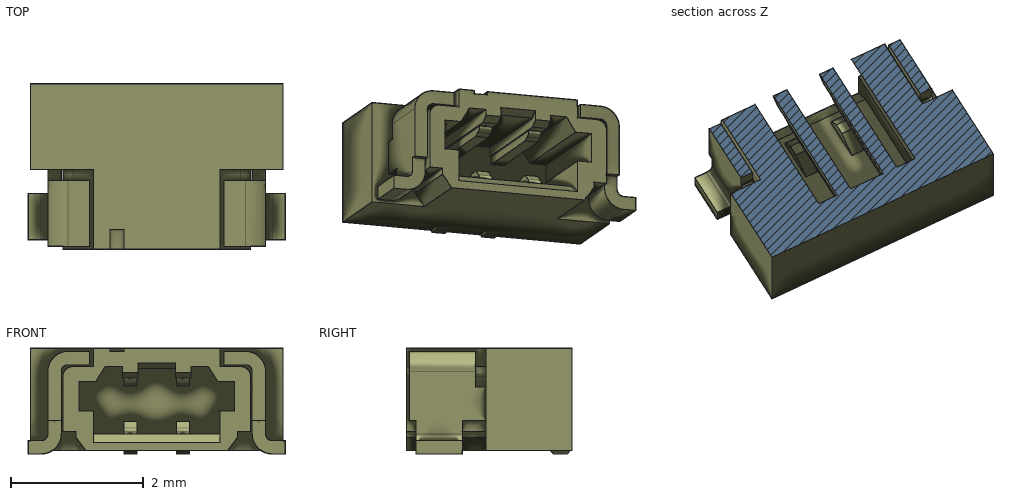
import cadquery as cq


total_width = 3.88
total_depth = 2.5
total_height = 1.6
standoff = 0.05

block_width = 3.81
block_front = 1.203
bridge_half_width = 0.95
shell_half_width = 1.415
shoulder_z = 1.32
shoulder_radius = 0.15
shell_step_z = 0.34
shell_step_half_width = 1.215
shell_bevel_z = 0.25
shell_base_half_width = 1.067

cavity_depth = 2.0
cavity_floor_z = 0.303
cavity_ceiling_z = 1.32
ledge_half_width = 1.175
ledge_bottom_z = 0.648
ledge_top_z = 1.095
taper_bottom_half_width = 0.92
taper_top_half_width = 0.775
rib_outer_x = 0.515
rib_inner_x = 0.28
rib_bottom_z = 1.15
channel_ceiling_z = 1.29
floor_lead_in = (0.217, 0.13)
ceiling_lead_in = (0.135, 0.08)

mark_center_x = -0.598
mark_width = 0.21
mark_length = 0.3
mark_depth = 0.05

strip = 0.2
bend_inner_radius = 0.1
bend_outer_radius = bend_inner_radius + strip
anchor_outer_x = 1.64
anchor_inner_x = anchor_outer_x - strip
anchor_arm_end_x = 1.015
anchor_top_z = 1.55
anchor_front = 0.045
anchor_back = 1.04
foot_front = 0.145
foot_back = 0.845
foot_end_x = total_width / 2
lug_bottom_z = 0.505
lug_top_z = 1.01

contact_x = 0.395
contact_width = 0.2
contact_tip_y = 0.34
tip_depth = 0.04
tip_edge_z = 0.33
nose_top_z = 0.395
nose_radius = 0.078
crest_start_y = 0.505
crest_z = 0.49
crest_end_y = 0.68
crest_foot_y = 0.995
upper_nose_z = 1.065
upper_crest_z = 1.025
upper_nose_depth = 0.078
solder_tail_top = (2.173, 2.465)
solder_tail_bottom = (2.22, 2.425)


def box(x_range, y_range, z_range):
    """Axis-aligned box between pairs of limits."""
    size = [high - low for low, high in (x_range, y_range, z_range)]
    corner = (x_range[0], y_range[0], z_range[0])
    return cq.Workplane("XY").box(*size, centered=False).translate(corner)


def extrude_along_y(outline, y_start, y_end):
    """Extrude an XZ outline from y_start back to y_end."""
    return outline.extrude(-(y_end - y_start)).translate((0, y_start, 0))


def extrude_along_x(outline, x_center, width):
    """Extrude a YZ outline to a width centred on x_center."""
    return outline.extrude(width / 2, both=True).translate((x_center, 0, 0))


def symmetric_outline(right_half):
    """Close an XZ outline from its right half, listed from bottom to top."""
    left_half = [(-x, z) for x, z in reversed(right_half)]
    return cq.Workplane("XZ").polyline(right_half + left_half).close()


def make_housing():
    half_width = block_width / 2
    block = box((-half_width, half_width), (block_front, total_depth), (standoff, total_height))

    shell_outline = symmetric_outline([
        (shell_base_half_width, standoff),
        (shell_step_half_width, shell_bevel_z),
        (shell_step_half_width, shell_step_z),
        (shell_half_width, shell_step_z),
        (shell_half_width, shoulder_z),
        (bridge_half_width, shoulder_z),
        (bridge_half_width, total_height),
    ])
    shell = extrude_along_y(shell_outline, 0, block_front)
    for side in (-1, 1):
        shoulder = cq.selectors.NearestToPointSelector(
            (side * shell_half_width, block_front / 2, shoulder_z))
        shell = shell.edges(shoulder).fillet(shoulder_radius)
    return block.union(shell)


def lead_in(edge_z, depth, height, x_center, width):
    """Wedge that opens an edge of the cavity at the mating face; negative height opens downward."""
    wedge = cq.Workplane("YZ").polyline([(0, edge_z), (depth, edge_z), (0, edge_z + height)]).close()
    return extrude_along_x(wedge, x_center, width)


def make_cavity():
    outline = symmetric_outline([
        (bridge_half_width, cavity_floor_z),
        (bridge_half_width, ledge_bottom_z),
        (ledge_half_width, ledge_bottom_z),
        (ledge_half_width, ledge_top_z),
        (taper_bottom_half_width, ledge_top_z),
        (taper_top_half_width, cavity_ceiling_z),
        (rib_outer_x, cavity_ceiling_z),
        (rib_outer_x, rib_bottom_z),
        (rib_inner_x, rib_bottom_z),
        (rib_inner_x, channel_ceiling_z),
    ])
    cavity = extrude_along_y(outline, 0, cavity_depth)

    floor_depth, floor_drop = floor_lead_in
    cavity = cavity.union(
        lead_in(cavity_floor_z, floor_depth, -floor_drop, 0, 2 * bridge_half_width))
    cavity = cavity.union(lead_in(channel_ceiling_z, *ceiling_lead_in, 0, 2 * rib_inner_x))
    rib_center_x = (rib_outer_x + rib_inner_x) / 2
    for side in (-1, 1):
        cavity = cavity.union(
            lead_in(rib_bottom_z, *ceiling_lead_in, side * rib_center_x, rib_outer_x - rib_inner_x))
    return cavity


def make_mark():
    half_width = mark_width / 2
    return box(
        (mark_center_x - half_width, mark_center_x + half_width),
        (0, mark_length),
        (total_height - mark_depth, total_height),
    )


def make_anchor():
    """Right-hand anchor: arm over the shoulder, upright, foot and a lug into the rear block."""
    upper = (
        cq.Workplane("XZ")
        .moveTo(anchor_arm_end_x, anchor_top_z)
        .lineTo(anchor_outer_x - bend_outer_radius, anchor_top_z)
        .radiusArc((anchor_outer_x, anchor_top_z - bend_outer_radius), bend_outer_radius)
        .lineTo(anchor_outer_x, lug_bottom_z)
        .lineTo(anchor_inner_x, lug_bottom_z)
        .lineTo(anchor_inner_x, anchor_top_z - bend_outer_radius)
        .radiusArc((anchor_inner_x - bend_inner_radius, anchor_top_z - strip), -bend_inner_radius)
        .lineTo(anchor_arm_end_x, anchor_top_z - strip)
        .close()
    )
    foot = (
        cq.Workplane("XZ")
        .moveTo(anchor_outer_x, lug_bottom_z)
        .lineTo(anchor_outer_x, bend_outer_radius)
        .radiusArc((anchor_outer_x + bend_inner_radius, strip), -bend_inner_radius)
        .lineTo(foot_end_x, strip)
        .lineTo(foot_end_x, 0)
        .lineTo(anchor_inner_x + bend_outer_radius, 0)
        .radiusArc((anchor_inner_x, bend_outer_radius), bend_outer_radius)
        .lineTo(anchor_inner_x, lug_bottom_z)
        .close()
    )
    lug = box((anchor_inner_x, anchor_outer_x), (anchor_back, block_front), (lug_bottom_z, lug_top_z))
    anchor = extrude_along_y(upper, anchor_front, anchor_back)
    return anchor.union(extrude_along_y(foot, foot_front, foot_back)).union(lug)


def make_contact(x_center):
    """Bump on the cavity floor, beam under the rib, and solder tail under the rear block."""
    lower = (
        cq.Workplane("YZ")
        .moveTo(contact_tip_y, cavity_floor_z)
        .lineTo(contact_tip_y, tip_edge_z)
        .radiusArc((contact_tip_y + tip_depth, nose_top_z), nose_radius)
        .lineTo(crest_start_y, crest_z)
        .lineTo(crest_end_y, crest_z)
        .lineTo(crest_foot_y, cavity_floor_z)
        .close()
    )
    upper = (
        cq.Workplane("YZ")
        .moveTo(contact_tip_y, rib_bottom_z)
        .radiusArc((contact_tip_y + upper_nose_depth, upper_nose_z), -(rib_bottom_z - upper_nose_z))
        .lineTo(crest_start_y, upper_crest_z)
        .lineTo(cavity_depth, upper_crest_z)
        .lineTo(cavity_depth, rib_bottom_z)
        .close()
    )
    tail = cq.Workplane("YZ").polyline([
        (solder_tail_top[0], standoff),
        (solder_tail_bottom[0], 0),
        (solder_tail_bottom[1], 0),
        (solder_tail_top[1], standoff),
    ]).close()
    contact = extrude_along_x(lower, x_center, contact_width)
    for outline in (upper, tail):
        contact = contact.add(extrude_along_x(outline, x_center, contact_width))
    return contact.combine()


result = make_housing().cut(make_cavity()).cut(make_mark())

right_anchor = make_anchor()
result = result.union(right_anchor).union(right_anchor.mirror("YZ"))

for side in (-1, 1):
    result = result.union(make_contact(side * contact_x))